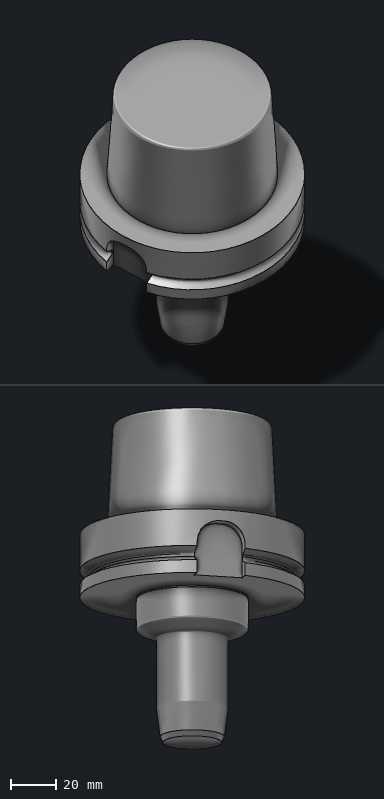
import cadquery as cq

total_height = 145.0
tip_chamfer_height = 2.5
tip_taper_top = 15.2
hub_cone_bottom = 47.3
hub_cone_top = 50.9
hub_top = 65.2
flange_bottom = 66.0
groove_bottom = 71.8
groove_floor_bottom = 73.7
groove_floor_top = 76.0
groove_top = 78.3
flange_top = 95.0

flange_radius = 100.0 / 2
hub_radius = 50.0 / 2
shaft_radius = 32.0 / 2
tip_end_radius = 13.0
tip_taper_radius = 14.4
collar_radius = hub_radius - 0.1
groove_floor_radius = 45.8
head_base_radius = 38.0
head_top_radius = 35.4

rim_fillet = 1.7
hub_fillet = 1.6
neck_fillet = 0.9
groove_fillet = 0.9

slot_width = 22.0
slot_floor_offset = 43.8
slot_top = 89.9
slot_corner_radius = 10.0


def round_edge(body, radius, height):
    """Round the circular edge centred on the Z axis at the given height."""
    reach = 0.1
    near_edge = cq.selectors.BoxSelector(
        (-reach, -reach, height - reach),
        (reach, reach, height + reach),
    )
    return body.edges(near_edge).fillet(radius)


def turned_body():
    """Pin, hub, grooved flange and tapered head revolved about Z."""
    profile = (
        cq.Workplane("XZ")
        .lineTo(tip_end_radius, 0)
        .lineTo(tip_taper_radius, tip_chamfer_height)
        .lineTo(shaft_radius, tip_taper_top)
        .lineTo(shaft_radius, hub_cone_bottom)
        .lineTo(hub_radius, hub_cone_top)
        .lineTo(hub_radius, hub_top)
        .lineTo(collar_radius, hub_top)
        .lineTo(collar_radius, flange_bottom)
        .lineTo(flange_radius, flange_bottom)
        .lineTo(flange_radius, groove_bottom)
        .lineTo(groove_floor_radius, groove_floor_bottom)
        .lineTo(groove_floor_radius, groove_floor_top)
        .lineTo(flange_radius, groove_top)
        .lineTo(flange_radius, flange_top)
        .lineTo(head_base_radius, flange_top)
        .lineTo(head_top_radius, total_height)
        .lineTo(0, total_height)
        .close()
    )
    body = profile.revolve(360, (0, 0, 0), (0, 1, 0))
    body = round_edge(body, neck_fillet, hub_cone_bottom)
    body = round_edge(body, hub_fillet, hub_cone_top)
    body = round_edge(body, groove_fillet, groove_floor_bottom)
    body = round_edge(body, groove_fillet, groove_floor_top)
    return round_edge(body, rim_fillet, total_height)


def slot_cutter():
    """Slot with a rounded top on the -Y side, open at the flange underside."""
    slot_depth = flange_radius - slot_floor_offset
    slot_height = slot_top - flange_bottom
    return (
        cq.Workplane("XY")
        .box(slot_width, slot_depth, slot_height, centered=(True, False, False))
        .edges("|Y and >Z")
        .fillet(slot_corner_radius)
        .translate((0, -flange_radius, flange_bottom))
    )


result = turned_body()
for slot_angle in (0, 180):
    result = result.cut(slot_cutter().rotate((0, 0, 0), (0, 0, 1), slot_angle))